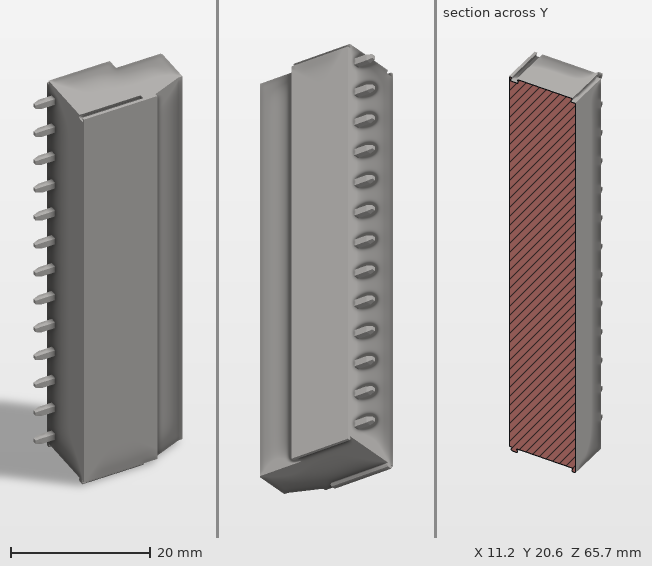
import cadquery as cq

pole_count = 13
pitch = 5.0
body_length = pole_count * pitch
body_width = 11.2
body_depth = 17.45
left_shoulder_x = 2.4
left_shoulder_y = 10.0
right_shoulder_y = 12.0
slope_bottom_x = 10.65
slope_top_x = 8.7
slope_top_y = 16.8
corner_chamfer = 0.2

pin_size = 1.0
pin_center_x = 2.0
pin_length = 3.1
pin_tip_length = 0.9
pin_tip_inset = 0.2

rail_height = 0.65
rail_wide_depth = 0.4
rail_neck_width = 0.8
rail_wide_width = 1.2
rail_end_width = 0.8
rail_length = left_shoulder_y
left_rail_x = 0.1
right_rail_x = 10.3


def make_housing():
    outline = [
        (0, 0),
        (body_width, 0),
        (body_width, right_shoulder_y),
        (slope_bottom_x, right_shoulder_y),
        (slope_top_x, slope_top_y),
        (slope_top_x, body_depth),
        (left_shoulder_x + corner_chamfer, body_depth),
        (left_shoulder_x, body_depth - corner_chamfer),
        (left_shoulder_x, left_shoulder_y),
        (0, left_shoulder_y),
    ]
    return cq.Workplane("XY").polyline(outline).close().extrude(body_length)


def make_dovetail(center_x, base_z, end_width):
    """Bar along Y that hangs from base_z, widens below its neck and is end_width wide at the end."""
    neck = rail_neck_width / 2
    wide = rail_wide_width / 2
    end = end_width / 2
    wide_z = base_z - rail_wide_depth
    end_z = base_z - rail_height
    section = [
        (center_x - neck, base_z),
        (center_x - wide, wide_z),
        (center_x - end, end_z),
        (center_x + end, end_z),
        (center_x + wide, wide_z),
        (center_x + neck, base_z),
    ]
    return cq.Workplane("XZ").polyline(section).close().extrude(-rail_length)


def make_dovetail_pair(base_z, end_width):
    """Dovetails near both sides, with nothing left of the housing's left face."""
    pair = make_dovetail(left_rail_x, base_z, end_width).union(make_dovetail(right_rail_x, base_z, end_width))
    housing_footprint = (
        cq.Workplane("XY", origin=(0, 0, base_z - rail_height))
        .rect(body_width, rail_length, centered=False).extrude(rail_height)
    )
    return pair.intersect(housing_footprint)


def make_pin(center_z):
    """Square pin along -Y with a tapered tip."""
    shank_length = pin_length - pin_tip_length
    tip_size = pin_size - 2 * pin_tip_inset
    shank = (
        cq.Workplane("XZ", origin=(pin_center_x, 0, center_z))
        .rect(pin_size, pin_size).extrude(shank_length)
    )
    tip = (
        cq.Workplane("XZ", origin=(pin_center_x, -shank_length, center_z))
        .rect(pin_size, pin_size)
        .workplane(offset=pin_tip_length).rect(tip_size, tip_size)
        .loft()
    )
    return shank.union(tip)


rails = make_dovetail_pair(0, rail_end_width)
grooves = make_dovetail_pair(body_length, rail_wide_width)
result = make_housing().union(rails).cut(grooves)
for pole in range(pole_count):
    result = result.union(make_pin((pole + 0.5) * pitch))